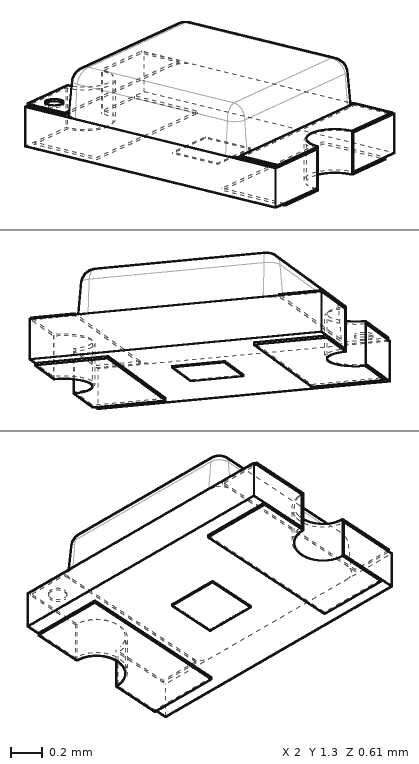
import cadquery as cq

length = 2.0
width = 1.3
total_height = 0.61

copper = 0.015
board_thickness = 0.27
board_bottom = copper
board_top = board_bottom + board_thickness

board_notch_radius = 0.2
lined_notch_radius = board_notch_radius - copper

lens_length = 1.4
lens_radius = 0.1
lens_draft = 5.0
lens_height = total_height - board_top

upper_pad_length = (length - lens_length) / 2
upper_pad_width = 1.25
lower_pad_length = 0.5
lower_pad_width = 1.1
terminal_height = board_thickness + 2 * copper

window_radius = 0.06
window_x = -0.875
window_y = -0.5

mark_size = 0.36
mark_thickness = 0.008
mark_x = 0.015


def end_cylinder(side, radius, bottom, height):
    """Upright cylinder centred on one end of the board (side is -1 or 1)."""
    return (
        cq.Workplane("XY", origin=(side * length / 2, 0, bottom))
        .circle(radius)
        .extrude(height)
    )


def make_board():
    board = cq.Workplane("XY", origin=(0, 0, board_bottom)).rect(length, width).extrude(board_thickness)
    for side in (-1, 1):
        board = board.cut(end_cylinder(side, board_notch_radius, board_bottom, board_thickness))
    return board


def make_lens():
    footprint = cq.Sketch().rect(lens_length, width).vertices().fillet(lens_radius)
    lens = (
        cq.Workplane("XY", origin=(0, 0, board_top))
        .placeSketch(footprint)
        .extrude(lens_height, taper=lens_draft)
    )
    return lens.faces(">Z").edges().fillet(lens_radius)


def make_pad(side, pad_length, pad_width, bottom):
    """Flat copper pad flush with one end of the board."""
    pad_x = side * (length - pad_length) / 2
    return cq.Workplane("XY", origin=(pad_x, 0, bottom)).rect(pad_length, pad_width).extrude(copper)


def make_terminal(side):
    """Upper and lower pads joined by the copper lining of the end notch."""
    half_space = (
        cq.Workplane("XY", origin=(side * length / 4, 0, 0))
        .rect(length / 2, width)
        .extrude(terminal_height)
    )
    lining = end_cylinder(side, board_notch_radius, 0, terminal_height).intersect(half_space)
    return (
        make_pad(side, lower_pad_length, lower_pad_width, 0)
        .union(make_pad(side, upper_pad_length, upper_pad_width, board_top))
        .union(lining)
        .cut(end_cylinder(side, lined_notch_radius, 0, terminal_height))
    )


def cut_polarity_window(terminal):
    window = (
        cq.Workplane("XY", origin=(window_x, window_y, board_top))
        .circle(window_radius)
        .extrude(copper)
    )
    return terminal.cut(window)


def make_underside_mark():
    return (
        cq.Workplane("XY", origin=(mark_x, 0, board_bottom - mark_thickness))
        .rect(mark_size, mark_size)
        .extrude(mark_thickness)
    )


board = make_board()
lens = make_lens()
left_terminal = cut_polarity_window(make_terminal(-1))
right_terminal = make_terminal(1)
underside_mark = make_underside_mark()

bodies = [board, lens, left_terminal, right_terminal, underside_mark]
result = cq.Compound.makeCompound([body.solids().val() for body in bodies])